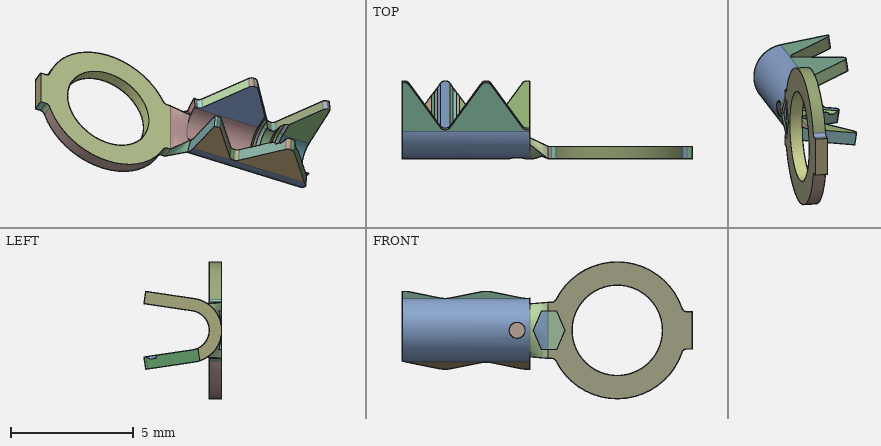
import math

import cadquery as cq


thickness = 0.51
ring_radius = 2.79
stud_hole_radius = 1.835
ring_tab_reach = 3.055
ring_tab_height = 1.52
tongue_fillet = 0.2

neck_start = -2.81
neck_half_height = 1.145
neck_end_half_height = 1.085

barrel_length = 5.2
barrel_end = -3.555
barrel_start = barrel_end - barrel_length
bend_radius = 1.31
bore_radius = bend_radius - thickness
leg_lean = math.radians(8.4)
leg_length = 2.0

tooth_half_pitch = 1.668
first_tooth_offset = 0.083
valley_height = 0.06
tooth_flat = 0.26
tooth_round = 0.22

groove_positions = (1.38, 2.14)
groove_mouth_width = 0.37
groove_floor_width = 0.125
groove_depth = 0.125

recess_offset = 4.68
recess_radius = 0.325
recess_floor = 0.055

hexagon_centre = -2.775
hexagon_half_length = 0.645
hexagon_flat_half_length = 0.31
hexagon_half_height = 0.785
hexagon_depth = 0.09


def leg_point(radius, along, side):
    """(y, z) on a leg surface, measured along the leg from where the bend of that radius ends."""
    y = bend_radius - radius * math.sin(leg_lean) + along * math.cos(leg_lean)
    z = side * (radius * math.cos(leg_lean) + along * math.sin(leg_lean))
    return y, z


def yz_plane(x):
    """Plane across the terminal, with local axes (Y, Z)."""
    return cq.Workplane("YZ", origin=(x, 0, 0))


def make_tongue():
    ring = cq.Workplane("XZ").circle(ring_radius).extrude(-thickness)
    tab = cq.Workplane("XZ").rect(ring_tab_reach, ring_tab_height).extrude(-thickness)
    tab = tab.translate((ring_tab_reach / 2, 0, 0))
    neck = cq.Workplane("XZ").rect(-neck_start, 2 * neck_half_height).extrude(-thickness)
    neck = neck.translate((neck_start / 2, 0, 0))
    tongue = ring.union(tab).union(neck)

    def corner_x(half_height):
        return math.sqrt(ring_radius**2 - half_height**2)

    for x_sign, half_height in ((1, ring_tab_height / 2), (-1, neck_half_height)):
        for z_sign in (1, -1):
            corner = (x_sign * corner_x(half_height), thickness / 2, z_sign * half_height)
            tongue = tongue.edges(cq.selectors.NearestToPointSelector(corner)).fillet(tongue_fillet)

    stud_hole = cq.Workplane("XZ").circle(stud_hole_radius).extrude(-thickness)
    return tongue.cut(stud_hole)


def make_neck():
    """Transition from the curled barrel section to the flat sheet."""
    half_angle = math.asin(neck_end_half_height / bend_radius)

    def arc_point(radius, angle):
        return bend_radius - radius * math.cos(angle), radius * math.sin(angle)

    curled = (
        yz_plane(barrel_end)
        .moveTo(*arc_point(bend_radius, -half_angle))
        .threePointArc((0, 0), arc_point(bend_radius, half_angle))
        .lineTo(*arc_point(bore_radius, half_angle))
        .threePointArc((thickness, 0), arc_point(bore_radius, -half_angle))
        .close()
    )
    flat = (
        yz_plane(neck_start)
        .moveTo(0, -neck_half_height)
        .lineTo(0, neck_half_height)
        .lineTo(thickness, neck_half_height)
        .lineTo(thickness, -neck_half_height)
        .close()
    )
    return cq.Workplane(cq.Solid.makeLoft([curled.val(), flat.val()], True))


def make_bend():
    """Round bottom of the barrel."""
    return (
        yz_plane(barrel_start)
        .moveTo(*leg_point(bend_radius, 0, -1))
        .threePointArc((0, 0), leg_point(bend_radius, 0, 1))
        .lineTo(*leg_point(bore_radius, 0, 1))
        .threePointArc((thickness, 0), leg_point(bore_radius, 0, -1))
        .close()
        .extrude(barrel_length)
    )


def upper_leg_plane():
    """Outer face of the upper leg: local x along the barrel, local y up the leg from its bottom."""
    y, z = leg_point(bend_radius, 0, 1)
    return cq.Plane(
        origin=(barrel_start, y, z),
        xDir=(1, 0, 0),
        normal=(0, -math.sin(leg_lean), math.cos(leg_lean)),
    )


def make_leg(first_is_peak):
    """Upper barrel leg with rounded teeth along its free edge."""
    first_level = 1 if first_is_peak else 0
    levels = (valley_height, leg_length)
    half_flat = tooth_flat / 2
    outline = []
    for index in range(-1, 5):
        centre = first_tooth_offset + index * tooth_half_pitch
        height = levels[(first_level + index) % 2]
        outline.append((centre - half_flat, height))
        outline.append((centre + half_flat, height))

    leg_plane = upper_leg_plane()
    comb = (
        cq.Workplane(leg_plane)
        .moveTo(outline[0][0], 0)
        .polyline(outline, includeCurrent=True)
        .lineTo(outline[-1][0], 0)
        .close()
        .extrude(-thickness)
    )
    for x, height in outline[1:-1]:
        corner = leg_plane.toWorldCoords((x, height, -thickness / 2))
        comb = comb.edges(cq.selectors.NearestToPointSelector(corner.toTuple())).fillet(tooth_round)

    ample_width = 4 * leg_length
    barrel_range = yz_plane(barrel_start).rect(ample_width, ample_width).extrude(barrel_length)
    return comb.intersect(barrel_range)


def make_starting_flank():
    """Cutter that carries the first lower tooth's flank straight down to the barrel start."""
    tooth_height = leg_length - valley_height
    slope = tooth_height / (tooth_half_pitch - tooth_flat)
    flank_foot = first_tooth_offset + tooth_flat / 2
    height_at_start = valley_height - slope * flank_foot
    mid_height = valley_height + tooth_height / 2
    mid_x = (mid_height - height_at_start) / slope
    wedge = (
        cq.Workplane(upper_leg_plane())
        .polyline([(0, height_at_start), (mid_x, mid_height), (0, mid_height)])
        .close()
        .extrude(thickness, both=True)
    )
    return wedge.mirror("XY")


def bore_section(x, depth):
    """Closed outline of the barrel's inside, grown outwards by depth."""
    radius = bore_radius + depth
    return (
        yz_plane(x)
        .moveTo(*leg_point(radius, leg_length, -1))
        .lineTo(*leg_point(radius, 0, -1))
        .threePointArc((bend_radius - radius, 0), leg_point(radius, 0, 1))
        .lineTo(*leg_point(radius, leg_length, 1))
        .close()
        .val()
    )


def make_groove(offset):
    """Cutter for one trapezoidal groove running round the bore."""
    centre = barrel_start + offset
    half_mouth = groove_mouth_width / 2
    half_floor = groove_floor_width / 2
    sections = [
        bore_section(centre - half_mouth, 0),
        bore_section(centre - half_floor, groove_depth),
        bore_section(centre + half_floor, groove_depth),
        bore_section(centre + half_mouth, 0),
    ]
    return cq.Workplane(cq.Solid.makeLoft(sections, True))


def make_barrel():
    lower_leg = make_leg(first_is_peak=False).mirror("XY")
    barrel = make_bend().union(make_leg(first_is_peak=True)).union(lower_leg)
    barrel = barrel.cut(make_starting_flank())
    for offset in groove_positions:
        barrel = barrel.cut(make_groove(offset))
    recess = cq.Workplane("XZ").circle(recess_radius).extrude(-recess_floor)
    return barrel.cut(recess.translate((barrel_start + recess_offset, 0, 0)))


def make_hexagon_cutter(body):
    """Hexagonal prism whose floor follows the body's front surface at a constant depth."""
    prism = (
        cq.Workplane("XZ")
        .polyline([
            (-hexagon_half_length, 0),
            (-hexagon_flat_half_length, hexagon_half_height),
            (hexagon_flat_half_length, hexagon_half_height),
            (hexagon_half_length, 0),
            (hexagon_flat_half_length, -hexagon_half_height),
            (-hexagon_flat_half_length, -hexagon_half_height),
        ])
        .close()
        .extrude(-thickness)
        .translate((hexagon_centre, 0, 0))
    )
    return prism.cut(body.translate((0, hexagon_depth, 0)))


body = make_tongue().union(make_neck()).union(make_barrel())
result = body.cut(make_hexagon_cutter(body))